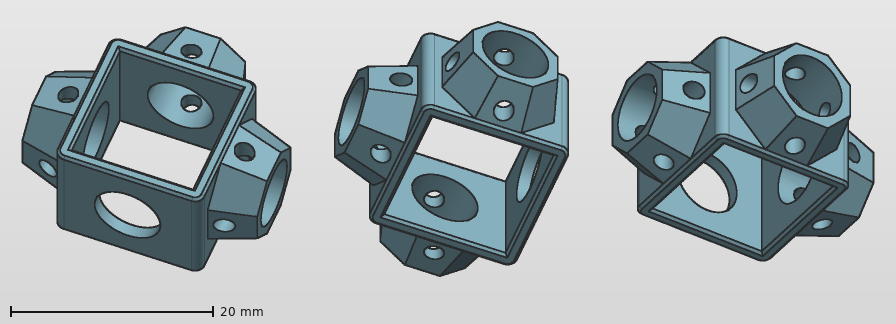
import cadquery as cq
import math

frame_side = 15.6
frame_height = 12.5
wall = 1.35
corner_radius = 1.0
edge_chamfer = 0.3

overall_length = 25.0
socket_sides = 8
tip_flats = 9.0
bore_diameter = 7.0
upright_pin_diameter = 2.0
level_pin_diameter = 2.1
pin_from_tip = 3.12

half_side = frame_side / 2
socket_tip = overall_length / 2
socket_length = socket_tip - half_side
base_flats = frame_height - 2 * edge_chamfer
opening_side = frame_side - 2 * wall
pin_position = socket_tip - pin_from_tip
socket_angles = (0, 90, 180)
bore_angles = (0, 90, 180, 270)


def around_frame(shape, angle):
    """Turn a shape modelled on the +X side to another side of the frame."""
    return shape.rotate((0, 0, 0), (0, 0, 1), angle)


def make_frame():
    """Rounded block with a sharp-cornered square opening, chamfered at both ends."""
    block = (
        cq.Workplane("XY")
        .box(frame_side, frame_side, frame_height)
        .edges("|Z")
        .fillet(corner_radius)
    )
    opening = cq.Workplane("XY").box(opening_side, opening_side, frame_height)
    return block.cut(opening).faces("|Z").edges().chamfer(edge_chamfer)


def octagon_points(flats):
    """Corners of a regular octagon with flats facing the axes."""
    half_step = math.pi / socket_sides
    radius = flats / 2 / math.cos(half_step)
    angles = [(2 * corner + 1) * half_step for corner in range(socket_sides)]
    return [(radius * math.cos(angle), radius * math.sin(angle)) for angle in angles]


def make_socket():
    """Octagonal socket on the +X side, narrowing from the wall to its tip."""
    return (
        cq.Workplane("YZ", origin=(half_side, 0, 0))
        .polyline(octagon_points(base_flats))
        .close()
        .workplane(offset=socket_length)
        .polyline(octagon_points(tip_flats))
        .close()
        .loft(ruled=True)
    )


def make_bore():
    """Round bore from the frame centre out through the +X side."""
    return cq.Workplane("YZ").circle(bore_diameter / 2).extrude(socket_tip)


def make_pin_holes():
    """Crossing upright and level pin holes through the +X socket."""
    upright = (
        cq.Workplane("XY", origin=(pin_position, 0, 0))
        .circle(upright_pin_diameter / 2)
        .extrude(base_flats / 2, both=True)
    )
    level = (
        cq.Workplane("XZ", origin=(pin_position, 0, 0))
        .circle(level_pin_diameter / 2)
        .extrude(base_flats / 2, both=True)
    )
    return upright.union(level)


result = make_frame()
for angle in socket_angles:
    result = result.union(around_frame(make_socket(), angle))
for angle in bore_angles:
    result = result.cut(around_frame(make_bore(), angle))
for angle in socket_angles:
    result = result.cut(around_frame(make_pin_holes(), angle))